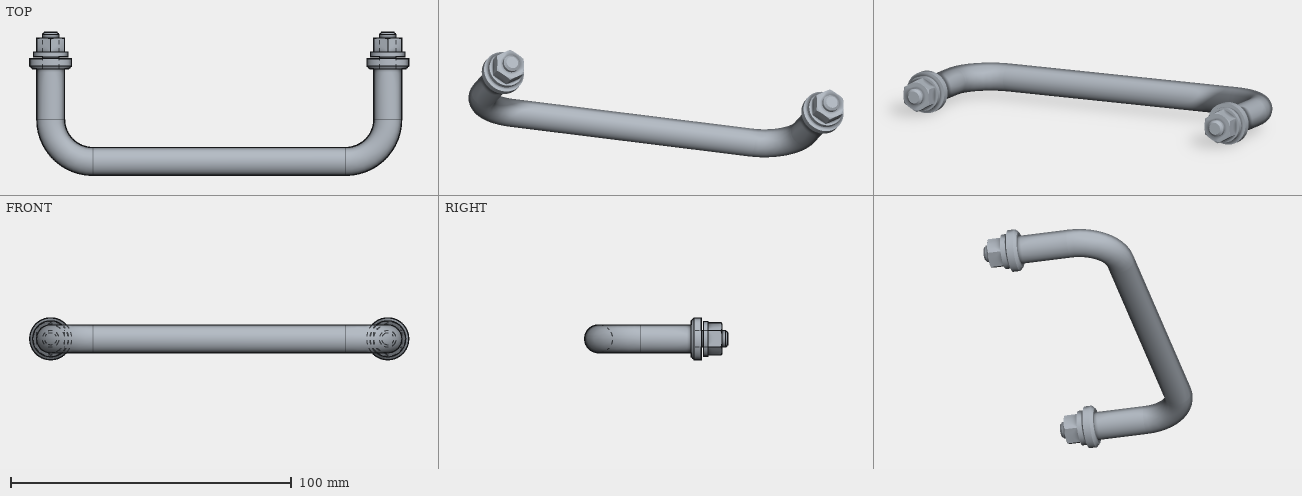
import cadquery as cq
import math

overall_length = 135.0
overall_depth = 51.0
collar_diameter = 15.0
leg_spacing = overall_length - collar_diameter
leg_positions = (-leg_spacing / 2, leg_spacing / 2)
bar_diameter = 10.0
bar_radius = bar_diameter / 2
bend_radius = 15.0
stud_diameter = 6.0
stud_chamfer = 0.8

collar_thickness = 3.6
collar_chamfer = 1.1
washer_gap = 0.7
washer_diameter = 12.4
washer_thickness = 1.8
nut_across_flats = 10.0
nut_thickness = 5.0
nut_chamfer_radial = 0.7
nut_chamfer_angle = 30.0
stud_projection = 2.0

nut_top = overall_depth - stud_projection
nut_base = nut_top - nut_thickness
washer_base = nut_base - washer_thickness
collar_top = washer_base - washer_gap
collar_base = collar_top - collar_thickness


def plane_at(x, y):
    """Plane normal to +Y with its local X along global X."""
    return cq.Plane(origin=(x, y, 0), xDir=(1, 0, 0), normal=(0, 1, 0))


def make_ring(x, base, diameter, thickness):
    """Ring along +Y that fits closely on the stud."""
    return (
        cq.Workplane(plane_at(x, base))
        .circle(diameter / 2)
        .circle(stud_diameter / 2)
        .extrude(thickness)
    )


def make_stud(x):
    """Threaded end, from the bar end face to its chamfered tip."""
    return (
        cq.Workplane(plane_at(x, collar_base))
        .circle(stud_diameter / 2)
        .extrude(overall_depth - collar_base)
        .faces(">Y")
        .chamfer(stud_chamfer)
    )


def make_handle():
    left, right = leg_positions
    bend_y = bar_radius + bend_radius
    bend_offset = bend_radius * math.sqrt(0.5)
    mid_y = bend_y - bend_offset
    path = (
        cq.Workplane("XY")
        .moveTo(left, collar_base)
        .lineTo(left, bend_y)
        .threePointArc(
            (left + bend_radius - bend_offset, mid_y),
            (left + bend_radius, bar_radius),
        )
        .lineTo(right - bend_radius, bar_radius)
        .threePointArc(
            (right - bend_radius + bend_offset, mid_y),
            (right, bend_y),
        )
        .lineTo(right, collar_base)
    )
    handle = cq.Workplane(plane_at(left, collar_base)).circle(bar_radius).sweep(path)
    for x in leg_positions:
        handle = handle.union(make_stud(x))
    return handle


def make_collar(x):
    """Collar seated on the bar end, chamfered around its lower rim."""
    bore_radius = stud_diameter / 2
    rim_radius = collar_diameter / 2
    return (
        cq.Workplane("XY", origin=(x, 0, 0))
        .moveTo(bore_radius, collar_base)
        .lineTo(rim_radius - collar_chamfer, collar_base)
        .lineTo(rim_radius, collar_base + collar_chamfer)
        .lineTo(rim_radius, collar_top)
        .lineTo(bore_radius, collar_top)
        .close()
        .revolve(360, (0, 0, 0), (0, 1, 0))
    )


def make_washer(x):
    return make_ring(x, washer_base, washer_diameter, washer_thickness)


def make_nut(x):
    """Hexagon nut with flats facing +/-X and its outer corners coned off."""
    corner_radius = nut_across_flats / 2 / math.cos(math.pi / 6)
    chamfer_depth = nut_chamfer_radial * math.tan(math.radians(nut_chamfer_angle))
    hexagon = (
        cq.Workplane(plane_at(x, nut_base))
        .transformed(rotate=(0, 0, 90))
        .polygon(6, 2 * corner_radius)
        .circle(stud_diameter / 2)
        .extrude(nut_thickness)
    )
    coned_blank = (
        cq.Workplane("XY", origin=(x, 0, 0))
        .moveTo(0, nut_base)
        .lineTo(corner_radius, nut_base)
        .lineTo(corner_radius, nut_top - chamfer_depth)
        .lineTo(corner_radius - nut_chamfer_radial, nut_top)
        .lineTo(0, nut_top)
        .close()
        .revolve(360, (0, 0, 0), (0, 1, 0))
    )
    return hexagon.intersect(coned_blank)


bodies = [make_handle().solids().val()]
for leg_x in leg_positions:
    bodies.append(make_collar(leg_x).solids().val())
    bodies.append(make_washer(leg_x).solids().val())
    bodies.append(make_nut(leg_x).solids().val())

result = cq.Compound.makeCompound(bodies)